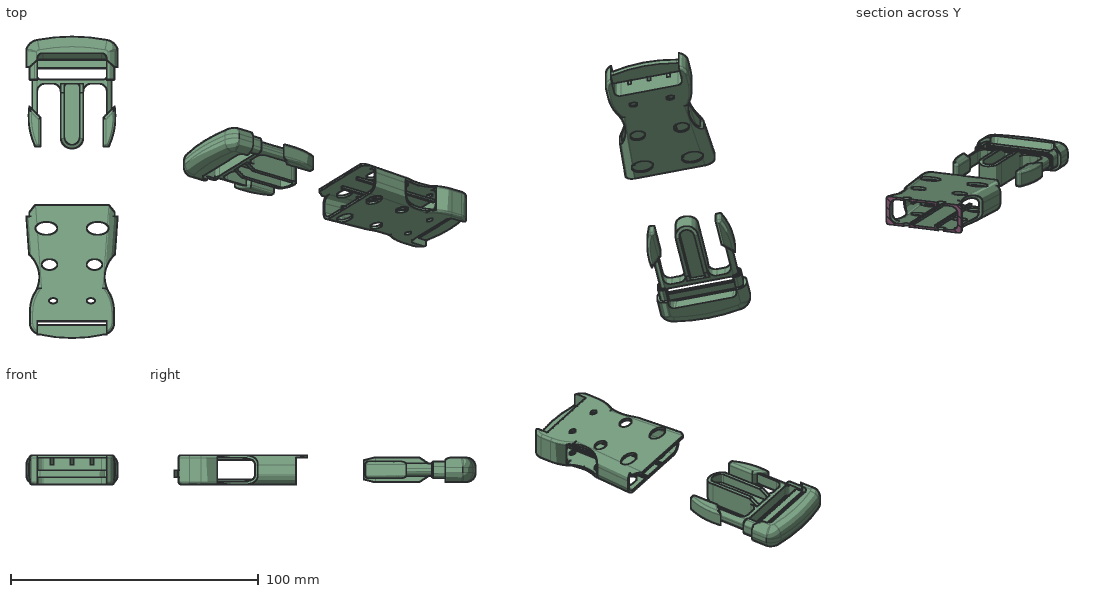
import cadquery as cq

OVERALL_LENGTH = 121.9
HALF_WIDTH = 18.5
TIP_Y = OVERALL_LENGTH / 2
TAIL_Y = -OVERALL_LENGTH / 2
OVERCUT = 1.2

HEAD_HALF_HEIGHT = 5.0
HEAD_END_Y = 48.5
HEAD_SHOULDER_Y = 55.6
HEAD_CORNER_X = 14.0
HEAD_CORNER_Y = 59.6
HEAD_CORNER_BULGE = (17.0, 58.1)
HEAD_ROUND = 4.0
SEAT_TOP_Y = 51.4

SLOT_HALF_WIDTH = 14.0
SLOT_TOP_Y = 54.2
SLOT_LEAN = 2.4
SLOT_CORNER_RADIUS = 2.2
BAR_Y = 49.8
BAR_WIDTH = 3.9
BAR_THICKNESS = 1.5
BAR_CHAMFER = 0.5

RAIL_OUTER_X = 17.2
RAIL_END_Y = 43.1
RAIL_END_CHAMFER = 0.5
RAIL_HALF_HEIGHT = 3.4
RAIL_ROUND = 2.0
BRIDGE_TOP_Y = 43.6
BRIDGE_BOTTOM_Y = 41.8
BRIDGE_TOP_FILLET = 1.2
BRIDGE_BOTTOM_FILLET = 3.0
ARM_OUTER_X = 16.1
ARM_HALF_HEIGHT = 2.5
ARM_ROUND = 2.0
ARM_END_Y = 26.8

BARB_OUTER_X = 17.3
BARB_INNER_X = 12.5
BARB_HALF_HEIGHT = 3.4
BARB_ROUND = 1.1
BARB_TOP_Y = 32.8
BARB_CATCH_Y = 28.0
BARB_CURVE_POINT = (17.0, 22.4)
BARB_TIP_X = 14.9
BARB_TIP_Y = 16.3
BARB_TIP_ROUND = 0.6

TONGUE_HALF_WIDTH = 4.6
TONGUE_END_Y = 15.6
TONGUE_RAMP_Y = 38.1
TONGUE_TAPER_Y = 19.9
TONGUE_END_HALF_HEIGHT = 3.9
POCKET_HALF_WIDTH = 3.0
POCKET_CORNER_RADIUS = 1.0
POCKET_WEB_HALF_HEIGHT = 0.7

SOCKET_HALF_HEIGHT = 6.0
LIP_Y = -7.1
LIP_HALF_WIDTH = 14.9
MOUTH_Y = -11.7
SLEEVE_TAPER = 0.072
SLEEVE_END_Y = -42.7
TAIL_FRONT = (14.1, -40.8)
SLEEVE_ROUND = 4.0
WALL = 1.1

WAIST_START = (17.3, -27.2)
WAIST_MIDDLE = (13.3, -36.7)
WAIST_END = (15.6, -43.5)
TAIL_HALF_WIDTH = 17.1
TAIL_BULGE = (16.5, -45.8)
TAIL_STRAIGHT_Y = -50.2
TAIL_BACK_Y = -59.5
TAIL_CORNER_RADIUS = 4.6
TAIL_ROUND = 1.1

WINDOW_END_Y = -43.5
CAVITY_END_Y = -49.5
GUIDE_INNER_X = 4.8
GUIDE_THICKNESS = 1.0
GUIDE_TIP_Z = 3.9

STRAP_HALF_WIDTH = 14.0
STRAP_WALL_Y = -51.0
STRAP_CORNER_RADIUS = 2.2
EAVE_Y = -53.9
EAVE_BEVEL = 0.4
STRAP_BAR_Y = -55.6
STRAP_BAR_ARC_X = 13.0
STRAP_BAR_TOP_Z = -0.1
STRAP_BAR_BOTTOM_Z = -3.0
GUSSET_SPACING = 8.0
GUSSET_THICKNESS = 1.3
GUSSET_BOTTOM_Z = 2.0

HOLE_INNER_X = 6.0
HOLES = [
    (-16.6, 8.8, 5.1),
    (-31.2, 6.2, 4.3),
    (-45.8, 3.3, 2.1),
]


def box(x_min, x_max, y_min, y_max, z_min, z_max):
    """Box given by its limits along each axis."""
    size = (x_max - x_min, y_max - y_min, z_max - z_min)
    return cq.Workplane().box(*size, centered=False).translate((x_min, y_min, z_min))


def slab(half_height):
    """Sketch plane from which extruding twice the half height is centred on Z = 0."""
    return cq.Workplane().workplane(offset=-half_height)


def both_sides(body):
    """The body together with its mirror image across X = 0."""
    return body.union(body.mirror("YZ"))


def make_head():
    outline = (
        slab(HEAD_HALF_HEIGHT)
        .moveTo(-HALF_WIDTH, HEAD_END_Y)
        .lineTo(-HALF_WIDTH, HEAD_SHOULDER_Y)
        .threePointArc((-HEAD_CORNER_BULGE[0], HEAD_CORNER_BULGE[1]), (-HEAD_CORNER_X, HEAD_CORNER_Y))
        .threePointArc((0, TIP_Y), (HEAD_CORNER_X, HEAD_CORNER_Y))
        .threePointArc(HEAD_CORNER_BULGE, (HALF_WIDTH, HEAD_SHOULDER_Y))
        .lineTo(HALF_WIDTH, HEAD_END_Y)
        .close()
    )
    head = outline.extrude(2 * HEAD_HALF_HEIGHT)
    head = head.faces("|Z").edges("not(<Y)").fillet(HEAD_ROUND)
    return head.cut(both_sides(make_lip_seat()))


def make_lip_seat():
    """Notch above the rail at +X that takes one slanted lip corner of the socket."""
    seat_z = RAIL_HALF_HEIGHT - RAIL_ROUND
    return (
        cq.Workplane().workplane(offset=seat_z)
        .polyline([(SLOT_HALF_WIDTH, SEAT_TOP_Y), (RAIL_OUTER_X, HEAD_END_Y), (SLOT_HALF_WIDTH, HEAD_END_Y)])
        .close()
        .extrude(HEAD_HALF_HEIGHT - seat_z)
    )


def make_strap_opening():
    """Opening through the head whose far wall leans, leaving a slanted path for the strap."""
    height = 2 * HEAD_HALF_HEIGHT
    opening = (
        cq.Workplane("YZ", origin=(-SLOT_HALF_WIDTH, 0, 0))
        .moveTo(BRIDGE_TOP_Y, HEAD_HALF_HEIGHT)
        .lineTo(SLOT_TOP_Y, HEAD_HALF_HEIGHT)
        .lineTo(SLOT_TOP_Y - SLOT_LEAN, HEAD_HALF_HEIGHT - height)
        .lineTo(BRIDGE_TOP_Y, HEAD_HALF_HEIGHT - height)
        .close()
        .extrude(2 * SLOT_HALF_WIDTH)
    )
    opening = opening.faces(">Y").edges("not |X").fillet(SLOT_CORNER_RADIUS)
    return opening.faces("<Y").edges("|Z").fillet(BRIDGE_TOP_FILLET)


def make_side_beam(outer_x, half_height, y_min, y_max, rounding):
    """Beam at +X along Y, flat on its inner face and rounded on its outer edges."""
    beam = box(SLOT_HALF_WIDTH, outer_x, y_min, y_max, -half_height, half_height)
    return beam.faces(">X").edges("|Y").fillet(rounding)


def make_barb():
    outline = (
        slab(BARB_HALF_HEIGHT)
        .moveTo(BARB_INNER_X, BARB_TIP_Y)
        .lineTo(BARB_INNER_X, BARB_CATCH_Y)
        .lineTo(BARB_OUTER_X, BARB_TOP_Y)
        .spline([BARB_CURVE_POINT, (BARB_TIP_X, BARB_TIP_Y)], includeCurrent=True)
        .close()
    )
    barb = outline.extrude(2 * BARB_HALF_HEIGHT)
    barb = barb.faces("<Y").edges("|Z").fillet(BARB_TIP_ROUND)
    return barb.faces("|Z").edges().fillet(BARB_ROUND)


def make_bridge():
    """Cross bridge with the two scallops that flank the tongue."""
    bottom_y = BRIDGE_BOTTOM_Y - BRIDGE_BOTTOM_FILLET
    end_x = ARM_OUTER_X - ARM_ROUND
    bridge = box(-end_x, end_x, bottom_y, BRIDGE_TOP_Y + BRIDGE_TOP_FILLET,
                 -ARM_HALF_HEIGHT, ARM_HALF_HEIGHT)
    scallop = box(TONGUE_HALF_WIDTH, SLOT_HALF_WIDTH, bottom_y - BRIDGE_BOTTOM_FILLET, BRIDGE_BOTTOM_Y,
                  -ARM_HALF_HEIGHT, ARM_HALF_HEIGHT)
    scallop = scallop.faces(">Y").edges("|Z").fillet(BRIDGE_BOTTOM_FILLET)
    return bridge.cut(both_sides(scallop))


def make_round_ended_bar(half_width, end_y, start_y, half_height):
    """Bar along Y with a half-round end towards -Y."""
    centre_y = end_y + half_width
    return (
        slab(half_height)
        .moveTo(-half_width, start_y)
        .lineTo(-half_width, centre_y)
        .threePointArc((0, end_y), (half_width, centre_y))
        .lineTo(half_width, start_y)
        .close()
        .extrude(2 * half_height)
    )


def make_tongue():
    side_profile = (
        cq.Workplane("YZ", origin=(-TONGUE_HALF_WIDTH, 0, 0))
        .polyline([
            (BRIDGE_BOTTOM_Y, ARM_HALF_HEIGHT),
            (TONGUE_RAMP_Y, HEAD_HALF_HEIGHT),
            (TONGUE_TAPER_Y, HEAD_HALF_HEIGHT),
            (TONGUE_END_Y, TONGUE_END_HALF_HEIGHT),
            (TONGUE_END_Y, -TONGUE_END_HALF_HEIGHT),
            (TONGUE_TAPER_Y, -HEAD_HALF_HEIGHT),
            (TONGUE_RAMP_Y, -HEAD_HALF_HEIGHT),
            (BRIDGE_BOTTOM_Y, -ARM_HALF_HEIGHT),
        ])
        .close()
        .extrude(2 * TONGUE_HALF_WIDTH)
    )
    plan = make_round_ended_bar(TONGUE_HALF_WIDTH, TONGUE_END_Y, BRIDGE_BOTTOM_Y, HEAD_HALF_HEIGHT)
    return side_profile.intersect(plan)


def make_pockets():
    """Round-ended pockets in the top and bottom of the tongue, with a web left between them."""
    end_y = TONGUE_END_Y + TONGUE_HALF_WIDTH - POCKET_HALF_WIDTH
    pockets = make_round_ended_bar(POCKET_HALF_WIDTH, end_y, BRIDGE_BOTTOM_Y, HEAD_HALF_HEIGHT)
    pockets = pockets.faces(">Y").edges("|Z").fillet(POCKET_CORNER_RADIUS)
    web = box(-POCKET_HALF_WIDTH, POCKET_HALF_WIDTH, end_y, BRIDGE_BOTTOM_Y,
              -POCKET_WEB_HALF_HEIGHT, POCKET_WEB_HALF_HEIGHT)
    return pockets.cut(web)


def make_rail():
    rail = make_side_beam(RAIL_OUTER_X, RAIL_HALF_HEIGHT, RAIL_END_Y, SEAT_TOP_Y, RAIL_ROUND)
    return rail.faces("<Y").edges("not <X").chamfer(RAIL_END_CHAMFER)


def make_bar():
    bar_top_z = ARM_HALF_HEIGHT
    bar = box(-SLOT_HALF_WIDTH - OVERCUT, SLOT_HALF_WIDTH + OVERCUT,
              BAR_Y - BAR_WIDTH / 2, BAR_Y + BAR_WIDTH / 2,
              bar_top_z - BAR_THICKNESS, bar_top_z)
    return bar.edges("|X").chamfer(BAR_CHAMFER)


def make_plug():
    arm = make_side_beam(ARM_OUTER_X, ARM_HALF_HEIGHT, ARM_END_Y, BRIDGE_TOP_Y + OVERCUT, ARM_ROUND)
    frame = make_head().union(both_sides(make_rail())).union(make_bridge()).cut(make_strap_opening())
    plug = frame.union(make_bar()).union(both_sides(arm)).union(both_sides(make_barb()))
    return plug.union(make_tongue()).cut(make_pockets())


def sleeve_half_width(y):
    return HALF_WIDTH + SLEEVE_TAPER * (y - MOUTH_Y)


def make_sleeve(inset, front_y, end_y):
    """Tapered sleeve form with rounded sides, shrunk all round by the inset."""
    half_height = SOCKET_HALF_HEIGHT - inset
    front_x = sleeve_half_width(front_y) - inset
    end_x = sleeve_half_width(end_y) - inset
    sleeve = (
        slab(half_height)
        .polyline([(-front_x, front_y), (front_x, front_y), (end_x, end_y), (-end_x, end_y)])
        .close()
        .extrude(2 * half_height)
    )
    return sleeve.edges("(not |X) and (not |Z)").fillet(SLEEVE_ROUND - inset)


def make_waist_cut():
    """Finger recess at +X."""
    outside_x = HALF_WIDTH + OVERCUT
    return (
        slab(SOCKET_HALF_HEIGHT)
        .moveTo(*WAIST_START)
        .threePointArc(WAIST_MIDDLE, WAIST_END)
        .lineTo(outside_x, WAIST_END[1])
        .lineTo(outside_x, WAIST_START[1])
        .close()
        .extrude(2 * SOCKET_HALF_HEIGHT)
    )


def make_tail():
    """Strap end of the socket, from the narrowest point of the waist to the strap bar."""
    outline = (
        slab(SOCKET_HALF_HEIGHT)
        .moveTo(0, TAIL_FRONT[1])
        .lineTo(*TAIL_FRONT)
        .threePointArc(TAIL_BULGE, (TAIL_HALF_WIDTH, TAIL_STRAIGHT_Y))
        .lineTo(TAIL_HALF_WIDTH, TAIL_BACK_Y)
        .lineTo(0, TAIL_BACK_Y)
        .mirrorY()
    )
    tail = outline.extrude(2 * SOCKET_HALF_HEIGHT)
    tail = tail.faces("<Y").edges("|Z").fillet(TAIL_CORNER_RADIUS)
    return tail.faces("|Z").edges("not >Y").fillet(TAIL_ROUND)


def make_mouth_cut():
    """Clears the front below the lip and trims the lip corners."""
    below_lip = box(-HALF_WIDTH - OVERCUT, HALF_WIDTH + OVERCUT, MOUTH_Y, LIP_Y + OVERCUT,
                    -SOCKET_HALF_HEIGHT, SOCKET_HALF_HEIGHT - WALL)
    corner = (
        slab(SOCKET_HALF_HEIGHT)
        .polyline([(LIP_HALF_WIDTH, LIP_Y), (HALF_WIDTH, MOUTH_Y),
                   (HALF_WIDTH + OVERCUT, MOUTH_Y), (HALF_WIDTH + OVERCUT, LIP_Y)])
        .close()
        .extrude(2 * SOCKET_HALF_HEIGHT)
    )
    return below_lip.union(both_sides(corner))


def make_strap_bar():
    return (
        cq.Workplane().workplane(offset=STRAP_BAR_BOTTOM_Z)
        .moveTo(-STRAP_HALF_WIDTH, STRAP_BAR_Y)
        .lineTo(-STRAP_HALF_WIDTH, TAIL_BACK_Y)
        .lineTo(-STRAP_BAR_ARC_X, TAIL_BACK_Y)
        .threePointArc((0, TAIL_Y), (STRAP_BAR_ARC_X, TAIL_BACK_Y))
        .lineTo(STRAP_HALF_WIDTH, TAIL_BACK_Y)
        .lineTo(STRAP_HALF_WIDTH, STRAP_BAR_Y)
        .close()
        .extrude(STRAP_BAR_TOP_Z - STRAP_BAR_BOTTOM_Z)
    )


def make_cavity():
    """Hollow inside of the sleeve, square-ended at the finger openings and split by guide ribs."""
    inner_z = SOCKET_HALF_HEIGHT - WALL
    cavity = make_sleeve(WALL, LIP_Y + OVERCUT, CAVITY_END_Y)
    window = box(WAIST_MIDDLE[0] - OVERCUT, WAIST_END[0], WINDOW_END_Y, WAIST_MIDDLE[1], -inner_z, inner_z)
    cavity = cavity.union(both_sides(window))
    for bottom_z in (-inner_z, GUIDE_TIP_Z):
        guide = box(GUIDE_INNER_X, GUIDE_INNER_X + GUIDE_THICKNESS, CAVITY_END_Y, MOUTH_Y,
                    bottom_z, bottom_z + inner_z - GUIDE_TIP_Z)
        cavity = cavity.cut(both_sides(guide))
    return cavity


def make_strap_gap():
    """Space for the strap, open at the bottom and back and reaching in under the overhanging top plate."""
    eave_z = SOCKET_HALF_HEIGHT - WALL
    below_eave = box(-STRAP_HALF_WIDTH, STRAP_HALF_WIDTH, TAIL_Y, STRAP_WALL_Y, -SOCKET_HALF_HEIGHT, eave_z)
    below_eave = below_eave.faces(">Y").edges("|Z").fillet(STRAP_CORNER_RADIUS)
    beside_eave = (
        cq.Workplane("YZ", origin=(-STRAP_HALF_WIDTH, 0, 0))
        .polyline([(TAIL_Y, eave_z), (EAVE_Y - EAVE_BEVEL, eave_z),
                   (EAVE_Y, SOCKET_HALF_HEIGHT), (TAIL_Y, SOCKET_HALF_HEIGHT)])
        .close()
        .extrude(2 * STRAP_HALF_WIDTH)
    )
    return below_eave.union(beside_eave)


def make_gusset(x):
    """Triangular gusset between the closed wall and the overhanging top plate."""
    eave_z = SOCKET_HALF_HEIGHT - WALL
    return (
        cq.Workplane("YZ", origin=(x - GUSSET_THICKNESS / 2, 0, 0))
        .polyline([(STRAP_WALL_Y, GUSSET_BOTTOM_Z), (STRAP_WALL_Y, eave_z), (EAVE_Y, eave_z)])
        .close()
        .extrude(GUSSET_THICKNESS)
    )


def make_oval_hole(y, length, width):
    """Elliptical hole at +X through both plates."""
    return (
        slab(SOCKET_HALF_HEIGHT)
        .center(HOLE_INNER_X + length / 2, y)
        .ellipse(length / 2, width / 2)
        .extrude(2 * SOCKET_HALF_HEIGHT)
    )


def make_socket():
    body = make_sleeve(0, LIP_Y, SLEEVE_END_Y).union(make_tail())
    body = body.cut(make_mouth_cut()).cut(both_sides(make_waist_cut()))
    body = body.cut(make_cavity()).cut(make_strap_gap()).union(make_strap_bar())
    for x in (-GUSSET_SPACING, 0, GUSSET_SPACING):
        body = body.union(make_gusset(x))
    for y, length, width in HOLES:
        body = body.cut(both_sides(make_oval_hole(y, length, width)))
    return body


plug = make_plug()
socket = make_socket()
result = cq.Compound.makeCompound([plug.val(), socket.val()])